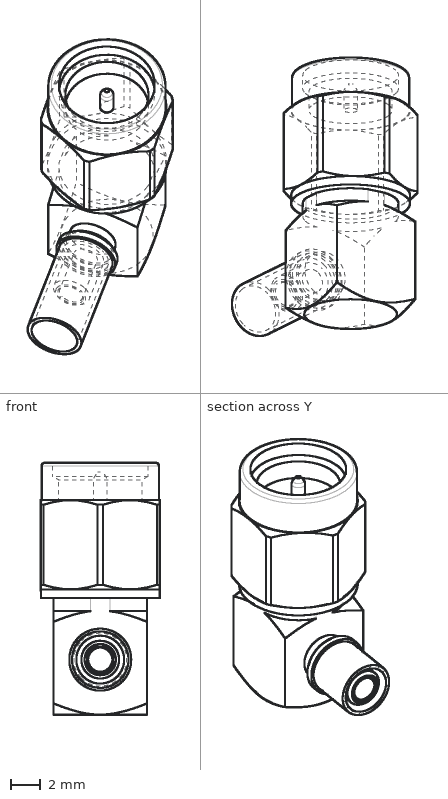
import cadquery as cq
import math


total_height = 16.95
total_length = 16.22

nut_flats = 8.0
nut_corner_radius = 4.51
nut_bottom = 8.44
nut_top = 14.42
collar_bottom = 7.85
ring_diameter = 7.9
ring_edge_radius = 0.22
bevel_slope = math.tan(math.radians(30))

socket_radius = 3.22
socket_wall_depth = 0.92
insert_radius = 2.8
insert_cone_height = 0.24
socket_depth = 2.47

pin_radius = 0.45
pin_tip_radius = 0.15
pin_tip_height = 16.32
pin_cone_height = 0.4
pin_blend_radius = 0.44

block_side = 6.3
block_bevel_start = 3.12
neck_radius = 3.22
neck_bottom = 6.97

cable_height = 3.71
stub_radius = 1.61
flange_radius = 2.08
flange_start = 3.93
flange_bevel = 0.3
flange_end = 4.71
tube_end = total_length - nut_corner_radius
tube_radius = 1.9
tube_bore_radius = 1.61
post_radius = 1.27
post_length = 3.39
post_bevel = 0.22
post_bore_radius = 0.81
post_bore_bevel = 0.08


def turned(profile):
    """Revolve a half profile of (radius, height) points about Z."""
    return cq.Workplane("XZ").polyline(profile).close().revolve(360, (0, 0, 0), (0, 1, 0))


def cylinder(radius, bottom, top):
    return cq.Workplane("XY").workplane(offset=bottom).circle(radius).extrude(top - bottom)


def make_nut():
    flat_radius = nut_flats / 2
    bevel_height = (nut_corner_radius - flat_radius) * bevel_slope
    hexagon = (
        cq.Workplane("XY")
        .workplane(offset=nut_bottom)
        .polygon(6, nut_flats, circumscribed=True)
        .extrude(nut_top - nut_bottom)
    )
    envelope = turned([
        (0, nut_bottom),
        (flat_radius, nut_bottom),
        (nut_corner_radius, nut_bottom + bevel_height),
        (nut_corner_radius, nut_top - bevel_height),
        (flat_radius, nut_top),
        (0, nut_top),
    ])
    collar = cylinder(flat_radius, collar_bottom, nut_bottom)
    ring = cylinder(ring_diameter / 2, nut_top, total_height).faces(">Z").edges().fillet(ring_edge_radius)
    return hexagon.intersect(envelope).union(collar).union(ring)


def make_socket():
    cone_top = total_height - socket_wall_depth
    cone_bottom = cone_top - insert_cone_height
    floor = total_height - socket_depth
    return turned([
        (0, floor),
        (insert_radius, floor),
        (insert_radius, cone_bottom),
        (socket_radius, cone_top),
        (socket_radius, total_height),
        (0, total_height),
    ])


def make_pin():
    shoulder = pin_tip_height - pin_cone_height
    pin = turned([
        (0, nut_bottom),
        (pin_radius, nut_bottom),
        (pin_radius, shoulder),
        (pin_tip_radius, pin_tip_height),
        (0, pin_tip_height),
    ])
    return pin.faces("%CYLINDER").edges(">Z").fillet(pin_blend_radius)


def make_block():
    corner_radius = block_side / math.sqrt(2)
    bottom_bevel = (corner_radius - block_bevel_start) * bevel_slope
    top_bevel = (corner_radius - neck_radius) * bevel_slope
    envelope = turned([
        (0, 0),
        (block_bevel_start, 0),
        (corner_radius, bottom_bevel),
        (corner_radius, neck_bottom - top_bevel),
        (neck_radius, neck_bottom),
        (neck_radius, collar_bottom),
        (0, collar_bottom),
    ])
    square_bar = cq.Workplane("XY").rect(block_side, block_side).extrude(collar_bottom)
    return square_bar.intersect(envelope)


def make_cable_outlet():
    """Stub, flange, crimp tube and inner post, turned on Z then laid along -Y."""
    post_end = flange_end + post_length
    outlet = turned([
        (0, 0),
        (stub_radius, 0),
        (stub_radius, flange_start),
        (flange_radius - flange_bevel, flange_start),
        (flange_radius, flange_start + flange_bevel),
        (flange_radius, flange_end),
        (tube_radius, flange_end),
        (tube_radius, tube_end),
        (tube_bore_radius, tube_end),
        (tube_bore_radius, flange_end),
        (post_radius, flange_end),
        (post_radius, post_end - post_bevel),
        (post_radius - post_bevel, post_end),
        (post_bore_radius + post_bore_bevel, post_end),
        (post_bore_radius, post_end - post_bore_bevel),
        (post_bore_radius, flange_end),
        (0, flange_end),
    ])
    return outlet.rotate((0, 0, 0), (1, 0, 0), 90).translate((0, 0, cable_height))


result = (
    make_nut()
    .cut(make_socket())
    .union(make_pin())
    .union(make_block())
    .union(make_cable_outlet())
)